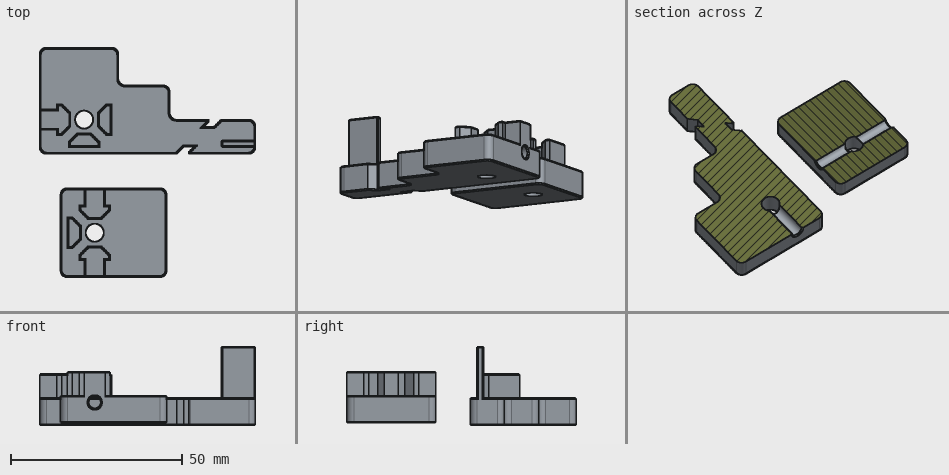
import cadquery as cq
import math

BASE_HEIGHT = 8.0
EDGE_CHAMFER = 0.4
CORNER_RADIUS = 2.0

POST_TOP = 15.0
POST_TIP_DISTANCE = 4.0
POST_BACK_DISTANCE = 8.0
POST_TIP_WIDTH = 4.0
POST_WIDTH = 9.0
STEM_WIDTH = 6.0

BORE_DIAMETER = 5.2
SIDE_HOLE_DIAMETER = 3.5
SIDE_HOLE_HEIGHT = 6.0

BAR_LENGTH = 63.0
BAR_WIDTH = 10.0
FIRST_STEP = (23.0, 31.0)
SECOND_STEP = (38.0, 20.0)
BAR_BORE = (13.0, 10.0)

NOTCH_WIDTH = 3.0
NOTCH_DEPTH = NOTCH_WIDTH * math.sin(math.radians(45))
NOTCH_TIP_RADIUS = 0.4
FRONT_NOTCH_X = 40.0
REAR_NOTCH_X = 53.0

FLAG_LENGTH = 10.0
FLAG_THICKNESS = 2.0
FLAG_FRONT_Y = 2.0
FLAG_TOP = 23.0

PLATE_LENGTH = 31.0
PLATE_WIDTH = 26.0
PLATE_BORE = (10.0, PLATE_WIDTH / 2)
BODY_GAP = 10.0
PLATE_POSITION = (6.1, -BODY_GAP - PLATE_WIDTH, 0.7)

RIGHT, REAR, LEFT, FRONT = 0, 90, 180, 270


def upright_edges_at(body, points):
    """Select the vertical edges of a body that stand on the given XY points."""
    picked = body.newObject([])
    for x, y in points:
        nearest = cq.selectors.NearestToPointSelector((x, y, BASE_HEIGHT / 2))
        picked = picked.add(body.edges("|Z").edges(nearest))
    return picked


def chamfer_rims(body):
    return body.faces("<Z or >Z").edges().chamfer(EDGE_CHAMFER)


def guide_post(bore, direction, stem_reach=0.0):
    """Post facing a bore; a stem, if any, ends stem_reach away from the bore axis."""
    half_tip = POST_TIP_WIDTH / 2
    half_width = POST_WIDTH / 2
    half_stem = STEM_WIDTH / 2
    shoulder = POST_TIP_DISTANCE + half_width - half_tip
    upper_side = [
        (POST_TIP_DISTANCE, half_tip),
        (shoulder, half_width),
        (POST_BACK_DISTANCE, half_width),
    ]
    if stem_reach:
        upper_side += [(POST_BACK_DISTANCE, half_stem), (stem_reach, half_stem)]
    lower_side = [(x, -y) for x, y in reversed(upper_side)]
    foot = BASE_HEIGHT - EDGE_CHAMFER
    post = (
        cq.Workplane("XY", origin=(0, 0, foot))
        .polyline(upper_side + lower_side).close()
        .extrude(POST_TOP - foot)
        .faces(">Z").edges().chamfer(EDGE_CHAMFER)
    )
    return post.rotate((0, 0, 0), (0, 0, 1), direction).translate((*bore, 0))


def bore_hole(bore):
    return cq.Workplane("XY").center(*bore).circle(BORE_DIAMETER / 2).extrude(BASE_HEIGHT)


def side_hole(bore, direction, reach):
    """Countersunk hole from the bore axis to a side wall that is reach away."""
    radius = SIDE_HOLE_DIAMETER / 2
    profile = [
        (0, 0),
        (0, radius),
        (reach - EDGE_CHAMFER, radius),
        (reach, radius + EDGE_CHAMFER),
        (reach, 0),
    ]
    hole = cq.Workplane("XY").polyline(profile).close().revolve(360, (0, 0, 0), (1, 0, 0))
    return hole.rotate((0, 0, 0), (0, 0, 1), direction).translate((*bore, SIDE_HOLE_HEIGHT))


def slanted_notch():
    """Notch slanting at 45 degrees, rising from y = 0 with its blunt corner at x = 0."""
    outline = [
        (0, 0),
        (NOTCH_WIDTH, 0),
        (NOTCH_WIDTH + NOTCH_DEPTH, NOTCH_DEPTH),
        (NOTCH_DEPTH, NOTCH_DEPTH),
    ]
    return cq.Workplane("XY").polyline(outline).close().extrude(BASE_HEIGHT)


def bar_base():
    corners = [
        (0, 0),
        (BAR_LENGTH, 0),
        (BAR_LENGTH, BAR_WIDTH),
        (SECOND_STEP[0], BAR_WIDTH),
        SECOND_STEP,
        (FIRST_STEP[0], SECOND_STEP[1]),
        FIRST_STEP,
        (0, FIRST_STEP[1]),
    ]
    base = cq.Workplane("XY").polyline(corners).close().extrude(BASE_HEIGHT)
    base = base.edges("|Z").fillet(CORNER_RADIUS)

    front_notch = slanted_notch().translate((FRONT_NOTCH_X, 0, 0))
    rear_notch = slanted_notch().rotate((0, 0, 0), (0, 0, 1), 180)
    rear_notch = rear_notch.translate((REAR_NOTCH_X, BAR_WIDTH, 0))
    base = base.cut(front_notch).cut(rear_notch)

    sharp_tips = [(FRONT_NOTCH_X + NOTCH_WIDTH, 0), (REAR_NOTCH_X - NOTCH_WIDTH, BAR_WIDTH)]
    base = upright_edges_at(base, sharp_tips).fillet(NOTCH_TIP_RADIUS)
    return chamfer_rims(base)


def flag():
    foot = BASE_HEIGHT - EDGE_CHAMFER
    return (
        cq.Workplane("XY", origin=(BAR_LENGTH - FLAG_LENGTH, FLAG_FRONT_Y, foot))
        .rect(FLAG_LENGTH, FLAG_THICKNESS, centered=False)
        .extrude(FLAG_TOP - foot)
        .edges("|Z or >Z").chamfer(EDGE_CHAMFER)
    )


def stepped_bar():
    wall_distance = BAR_BORE[0]
    return (
        bar_base()
        .union(flag())
        .union(guide_post(BAR_BORE, LEFT, wall_distance))
        .union(guide_post(BAR_BORE, RIGHT))
        .union(guide_post(BAR_BORE, FRONT))
        .cut(bore_hole(BAR_BORE))
        .cut(side_hole(BAR_BORE, LEFT, wall_distance))
    )


def plate():
    wall_distance = PLATE_WIDTH / 2
    body = cq.Workplane("XY").rect(PLATE_LENGTH, PLATE_WIDTH, centered=False).extrude(BASE_HEIGHT)
    body = chamfer_rims(body.edges("|Z").fillet(CORNER_RADIUS))
    body = body.union(guide_post(PLATE_BORE, LEFT)).cut(bore_hole(PLATE_BORE))
    for direction in (FRONT, REAR):
        body = body.union(guide_post(PLATE_BORE, direction, wall_distance))
        body = body.cut(side_hole(PLATE_BORE, direction, wall_distance))
    return body.translate(PLATE_POSITION)


result = cq.Compound.makeCompound([stepped_bar().val(), plate().val()])